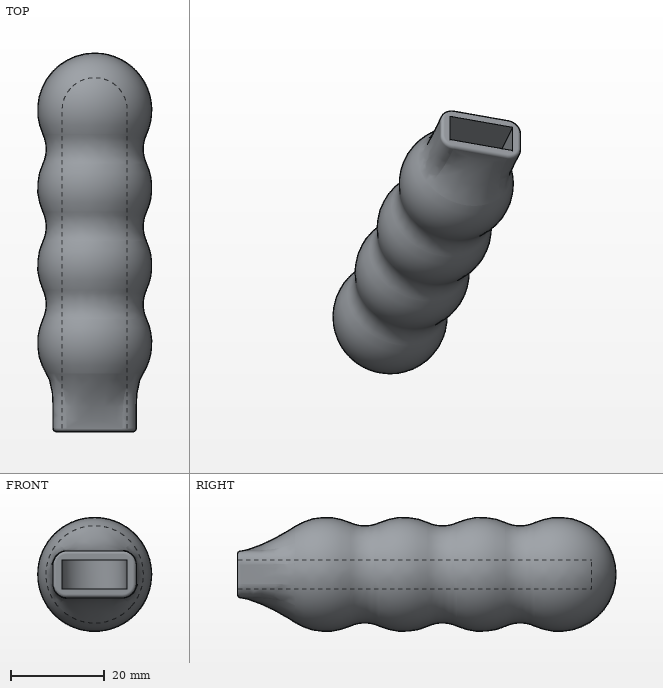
import cadquery as cq
import math

length = 81.0
ball_radius = 12.2
ball_count = 4
ball_pitch = 16.6
groove_radius = 7.5

mouth_width = 17.8
mouth_height = 10.05
mouth_corner = 2.9
lip_length = 0.8
lip_rounding = 0.7
neck_start_offset = 6.6
neck_stations = 8

slot_width = 13.9
slot_height = 6.15

end_ball_y = length - ball_radius
first_ball_y = end_ball_y - (ball_count - 1) * ball_pitch
neck_start_y = first_ball_y - neck_start_offset
neck_start_radius = math.sqrt(ball_radius**2 - neck_start_offset**2)


def make_balls():
    """Revolve the row of balls and the tangent grooves between them."""
    half_pitch = ball_pitch / 2
    groove_axis_radius = math.sqrt((ball_radius + groove_radius) ** 2 - half_pitch**2)
    tangent_share = ball_radius / (ball_radius + groove_radius)
    tangent_offset = half_pitch * tangent_share
    tangent_radius = groove_axis_radius * tangent_share
    groove_bottom = groove_axis_radius - groove_radius

    profile = cq.Workplane("XY").moveTo(0, neck_start_y).lineTo(neck_start_radius, neck_start_y)
    for index in range(ball_count - 1):
        ball_y = first_ball_y + index * ball_pitch
        next_ball_y = ball_y + ball_pitch
        profile = profile.threePointArc((ball_radius, ball_y), (tangent_radius, ball_y + tangent_offset))
        profile = profile.threePointArc(
            (groove_bottom, ball_y + half_pitch),
            (tangent_radius, next_ball_y - tangent_offset),
        )
    profile = profile.threePointArc((ball_radius, end_ball_y), (0, length))
    return profile.close().revolve(360, (0, 0, 0), (0, 1, 0))


def mouth_outline():
    """Ends and middles, in turn, of the rounded rectangle's four sides and four corners."""
    side_x = mouth_width / 2 - mouth_corner
    side_z = mouth_height / 2 - mouth_corner
    diagonal = mouth_corner * math.sqrt(0.5)
    quarter = [
        (mouth_width / 2, 0),
        (mouth_width / 2, side_z),
        (side_x + diagonal, side_z + diagonal),
        (side_x, mouth_height / 2),
    ]
    top = quarter + [(0, mouth_height / 2)] + [(-x, z) for x, z in reversed(quarter)]
    bottom = [(x, -z) for x, z in reversed(top[1:-1])]
    return top + bottom


def neck_section(progress):
    """Outline between the circle (progress 0) and the mouth (progress 1)."""
    neck_length = neck_start_y - lip_length
    ball_slope = neck_start_offset / neck_start_radius
    y = neck_start_y - progress * neck_length
    points = []
    for x, z in mouth_outline():
        reach = math.hypot(x, z)
        drop = neck_start_radius - reach
        power = ball_slope * neck_length / drop
        scale = (reach + drop * (1 - progress) ** power) / reach
        points.append(cq.Vector(x * scale, y, z * scale))

    edges = []
    for middle in range(0, len(points), 2):
        start = points[middle - 1]
        end = points[middle + 1]
        is_straight = progress == 1 and middle % 4 == 0
        if is_straight:
            edges.append(cq.Edge.makeLine(start, end))
        else:
            edges.append(cq.Edge.makeThreePointArc(start, points[middle], end))
    return cq.Wire.assembleEdges(edges)


def make_neck():
    sections = [neck_section(station / neck_stations) for station in range(neck_stations + 1)]
    return cq.Workplane(cq.Solid.makeLoft(sections))


def make_lip():
    return (
        cq.Workplane("XZ")
        .rect(mouth_width, mouth_height)
        .extrude(-lip_length)
        .edges("|Y")
        .fillet(mouth_corner)
        .faces("<Y")
        .edges()
        .fillet(lip_rounding)
    )


def make_slot():
    """Flat slot from the mouth, with a full-round bottom centred in the end ball."""
    half_width = slot_width / 2
    return (
        cq.Workplane("XY")
        .moveTo(-half_width, 0)
        .lineTo(half_width, 0)
        .lineTo(half_width, end_ball_y)
        .threePointArc((0, end_ball_y + half_width), (-half_width, end_ball_y))
        .close()
        .extrude(slot_height / 2, both=True)
    )


result = make_balls().union(make_neck()).union(make_lip()).cut(make_slot())